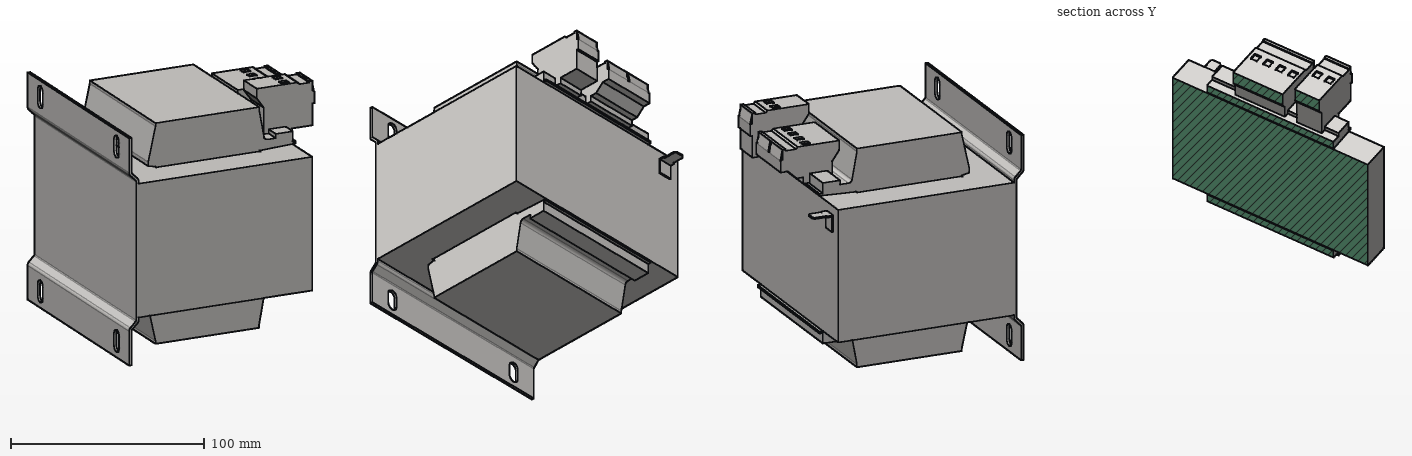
import cadquery as cq
import math


CORE_WIDTH = 120.0
CORE_DEPTH = 100.0
CORE_HEIGHT = 73.0
LEG = CORE_WIDTH / 6
WINDOW_DEPTH = CORE_DEPTH - 2 * LEG
CORE_FRONT = 5.5
CORE_BACK = CORE_FRONT + CORE_DEPTH
CORE_TOP = CORE_HEIGHT / 2
WINDOW_FRONT = CORE_FRONT + LEG
WINDOW_BACK = CORE_BACK - LEG

PLATE_HEIGHT = 124.0
PLATE_THICKNESS = 1.5
PLATE_OFFSET = CORE_FRONT - PLATE_THICKNESS
BEND_INNER_RADIUS = 1.0
BEND_OUTER_RADIUS = BEND_INNER_RADIUS + PLATE_THICKNESS
FOOT_START = 42.2
SLOT_WIDTH = 6.0
SLOT_LENGTH = 12.0
SLOT_X = 45.0
SLOT_Z = 53.0

COIL_WIDTH = 77.7
COIL_TOP = 60.25
COIL_TOP_BACK = 85.2
COIL_EDGE_HEIGHT = 1.7
COIL_FRONT = 21.3
COIL_FRONT_SHOULDER = 39.7
COIL_SLOPE_FOOT = 88.3
TROUGH_Z = 41.9
TROUGH_FILLET = 2.0
RAIL_TOP = 44.2
RAIL_FRONT = 94.8
RAIL_BACK = 104.6
LIP_BACK = 106.4
LIP_TOP = 38.5
FRONT_EDGE_BOTTOM = 37.4
LIP_BOTTOM = 37.4

BLOCK_WIDTH = 15.25
BLOCK_BACK = 121.25
BLOCK_FRONT = 88.0
LOW_BLOCK_TOP = 59.8
HIGH_BLOCK_TOP = 67.3
LOW_BLOCKS_LEFT = -22.8
HIGH_BLOCK_LEFT = 15.05
UPPER_BACK = 120.1
RIDGE_FRONT = 118.3
RIDGE_DROP = 0.4
LEDGE_DROP = 1.1
LEDGE_FRONT = 112.6
LEDGE_RAMP_FRONT = 111.6
BACK_RAMP_TOP_DROP = 5.7
BACK_RAMP_BOTTOM_DROP = 6.4
OVERHANG_DROP = 12.7
OVERHANG_FRONT = 117.1
BODY_DROP = 17.2
BODY_BACK = 112.2
FRONT_SLOPE_TOP_DROP = 5.3
FRONT_SLOPE_BOTTOM_DROP = 10.9
CLIP_BACK = 108.5
CLIP_FRONT = 92.0
CLIP_BOTTOM = 39.1
CLIP_TOP = RAIL_TOP + 1.0

LUG_INSET = 0.6
LUG_TOP_DROP = 0.9

POLES_PER_BLOCK = 2
POLE_PITCH = 7.5
FIRST_POLE = 4.0
OPENING_WIDTH = 3.8
OPENING_LENGTH = 4.2
OPENING_Y = 105.5
OPENING_DEPTH = 1.0

TAB_X = -50.0
TAB_THICKNESS = 0.8
TAB_LEG_WIDTH = 7.8
TAB_LEG_BOTTOM = 22.4
TAB_TOP = 31.5
TAB_SHOULDER = 108.8
TAB_BLADE_WIDTH = 6.3
TAB_END = 116.5
TAB_TIP_CHAMFER = 0.9


def box_between(x_range, y_range, z_range):
    """Box given by its lower and upper limit along each axis."""
    sizes = [high - low for low, high in (x_range, y_range, z_range)]
    corner = (x_range[0], y_range[0], z_range[0])
    return cq.Workplane("XY").box(*sizes, centered=False).translate(corner)


def extrude_profile(points, left, width):
    """Extrude a (Y, Z) outline along +X from the given left side."""
    return cq.Workplane("YZ").workplane(offset=left).polyline(points).close().extrude(width)


def mirrored_in_z(body):
    """Body joined with its mirror image below the middle of the core."""
    return body.union(body.mirror("XY"))


def make_core():
    core = box_between(
        (-CORE_WIDTH / 2, CORE_WIDTH / 2), (CORE_FRONT, CORE_BACK), (-CORE_TOP, CORE_TOP)
    )
    window_x = 1.5 * LEG
    window_y = (WINDOW_FRONT + WINDOW_BACK) / 2
    windows = (
        cq.Workplane("XY")
        .pushPoints([(-window_x, window_y), (window_x, window_y)])
        .rect(LEG, WINDOW_DEPTH)
        .extrude(CORE_HEIGHT, both=True)
    )
    return core.cut(windows)


def make_plate():
    """Upper half of the plate with rounded bends and slots, mirrored to the lower half."""
    corner_shift = PLATE_THICKNESS * math.tan(math.radians(22.5))
    foot_end = PLATE_HEIGHT / 2
    front_lower_bend = (PLATE_OFFSET, FOOT_START - PLATE_OFFSET)
    front_upper_bend = (0, FOOT_START)
    back_upper_bend = (PLATE_THICKNESS, FOOT_START + corner_shift)
    back_lower_bend = (CORE_FRONT, FOOT_START - PLATE_OFFSET + corner_shift)
    outline = [
        (PLATE_OFFSET, 0),
        front_lower_bend,
        front_upper_bend,
        (0, foot_end),
        (PLATE_THICKNESS, foot_end),
        back_upper_bend,
        back_lower_bend,
        (CORE_FRONT, 0),
    ]
    half = extrude_profile(outline, -CORE_WIDTH / 2, CORE_WIDTH)
    bends = [
        (front_lower_bend, BEND_INNER_RADIUS),
        (back_upper_bend, BEND_INNER_RADIUS),
        (front_upper_bend, BEND_OUTER_RADIUS),
        (back_lower_bend, BEND_OUTER_RADIUS),
    ]
    for (y, z), radius in bends:
        half = half.edges(cq.selectors.NearestToPointSelector((0, y, z))).fillet(radius)
    slots = (
        cq.Workplane("XZ")
        .pushPoints([(-SLOT_X, SLOT_Z), (SLOT_X, SLOT_Z)])
        .slot2D(SLOT_LENGTH, SLOT_WIDTH, 90)
        .extrude(PLATE_THICKNESS * 2, both=True)
    )
    return mirrored_in_z(half.cut(slots))


def make_coil():
    """Coil with its bobbin flanges, whose undersides slant away from the core."""
    outline = [
        (WINDOW_FRONT, 0),
        (WINDOW_FRONT, CORE_TOP),
        (COIL_FRONT, FRONT_EDGE_BOTTOM),
        (COIL_FRONT, COIL_FRONT_SHOULDER),
        (WINDOW_FRONT, COIL_TOP - COIL_EDGE_HEIGHT),
        (WINDOW_FRONT, COIL_TOP),
        (COIL_TOP_BACK, COIL_TOP),
        (COIL_TOP_BACK, COIL_TOP - COIL_EDGE_HEIGHT),
        (COIL_SLOPE_FOOT, TROUGH_Z),
        (RAIL_FRONT, TROUGH_Z),
        (RAIL_FRONT, RAIL_TOP),
        (RAIL_BACK, RAIL_TOP),
        (RAIL_BACK, LIP_TOP),
        (LIP_BACK, LIP_TOP),
        (LIP_BACK, LIP_BOTTOM),
        (WINDOW_BACK, CORE_TOP),
        (WINDOW_BACK, 0),
    ]
    half = extrude_profile(outline, -COIL_WIDTH / 2, COIL_WIDTH)
    slope_foot = cq.selectors.NearestToPointSelector((0, COIL_SLOPE_FOOT, TROUGH_Z))
    return mirrored_in_z(half.edges(slope_foot).fillet(TROUGH_FILLET))


def make_block(left, top):
    """Two-pole terminal block without its clip."""
    body_bottom = top - BODY_DROP
    outline = [
        (UPPER_BACK, top - RIDGE_DROP),
        (RIDGE_FRONT, top - RIDGE_DROP),
        (RIDGE_FRONT, top - LEDGE_DROP),
        (LEDGE_FRONT, top - LEDGE_DROP),
        (LEDGE_RAMP_FRONT, top),
        (BLOCK_FRONT, top),
        (BLOCK_FRONT, top - FRONT_SLOPE_TOP_DROP),
        (CLIP_FRONT, top - FRONT_SLOPE_BOTTOM_DROP),
        (CLIP_FRONT, body_bottom),
        (BODY_BACK, body_bottom),
        (OVERHANG_FRONT, top - OVERHANG_DROP),
        (BLOCK_BACK, top - OVERHANG_DROP),
        (BLOCK_BACK, top - BACK_RAMP_BOTTOM_DROP),
        (UPPER_BACK, top - BACK_RAMP_TOP_DROP),
    ]
    block = extrude_profile(outline, left, BLOCK_WIDTH)
    lug_outline = [
        (UPPER_BACK, top - LUG_TOP_DROP),
        (BLOCK_BACK, top - BACK_RAMP_BOTTOM_DROP),
        (UPPER_BACK, top - BACK_RAMP_BOTTOM_DROP),
    ]
    lug = extrude_profile(lug_outline, left + LUG_INSET, BLOCK_WIDTH - 2 * LUG_INSET)
    block = block.union(lug)
    for pole in range(POLES_PER_BLOCK):
        pole_x = left + FIRST_POLE + pole * POLE_PITCH
        opening = box_between(
            (pole_x - OPENING_WIDTH / 2, pole_x + OPENING_WIDTH / 2),
            (OPENING_Y - OPENING_LENGTH / 2, OPENING_Y + OPENING_LENGTH / 2),
            (top - OPENING_DEPTH, top),
        )
        block = block.cut(opening)
    return block


def make_clip(left):
    """Clip that joins a block to the rail and hooks down behind it."""
    outline = [
        (CLIP_BACK, CLIP_BOTTOM),
        (RAIL_BACK, CLIP_BOTTOM),
        (RAIL_BACK, RAIL_TOP),
        (RAIL_FRONT, RAIL_TOP),
        (RAIL_FRONT, TROUGH_Z),
        (CLIP_FRONT, TROUGH_Z),
        (CLIP_FRONT, CLIP_TOP),
        (CLIP_BACK, CLIP_TOP),
    ]
    return extrude_profile(outline, left, BLOCK_WIDTH)


def make_spacer(left):
    """Spacer that raises the high block above the level of the low ones."""
    return box_between(
        (left, left + BLOCK_WIDTH),
        (CLIP_FRONT, UPPER_BACK),
        (LOW_BLOCK_TOP - BODY_DROP, HIGH_BLOCK_TOP - OVERHANG_DROP),
    )


def make_terminals():
    low_lefts = [LOW_BLOCKS_LEFT, LOW_BLOCKS_LEFT + BLOCK_WIDTH]
    terminals = make_block(HIGH_BLOCK_LEFT, HIGH_BLOCK_TOP).union(make_spacer(HIGH_BLOCK_LEFT))
    for left in low_lefts:
        terminals = terminals.union(make_block(left, LOW_BLOCK_TOP))
    for left in low_lefts + [HIGH_BLOCK_LEFT]:
        terminals = terminals.union(make_clip(left))
    return terminals


def make_earth_tab():
    """Angled tab: an upright leg on the core and a blade with a chamfered tip."""
    half_leg = TAB_LEG_WIDTH / 2
    leg = box_between(
        (TAB_X - half_leg, TAB_X + half_leg),
        (CORE_BACK, CORE_BACK + TAB_THICKNESS),
        (TAB_LEG_BOTTOM, TAB_TOP),
    )
    blade_bottom = TAB_TOP - TAB_THICKNESS
    shoulder = box_between(
        (TAB_X - half_leg, TAB_X + half_leg), (CORE_BACK, TAB_SHOULDER), (blade_bottom, TAB_TOP)
    )
    half_blade = TAB_BLADE_WIDTH / 2
    blade = box_between(
        (TAB_X - half_blade, TAB_X + half_blade), (CORE_BACK, TAB_END), (blade_bottom, TAB_TOP)
    )
    blade = blade.faces(">Y").edges("|Z").chamfer(TAB_TIP_CHAMFER)
    return leg.union(shoulder).union(blade)


result = (
    make_core()
    .union(make_plate())
    .union(make_coil())
    .union(make_terminals())
    .union(make_earth_tab())
)